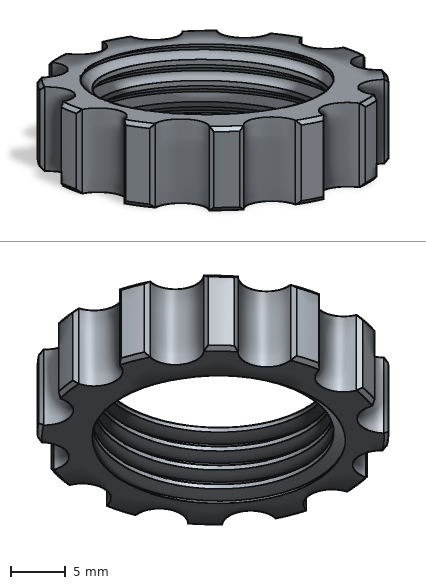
import cadquery as cq
import math

tooth_count = 12
outer_diameter = 32.0
height = 8.0
tip_chamfer = 0.4

notch_radius = 2.6
notch_center_radius = 16.1
tooth_turn_angle = 2.3

minor_diameter = 22.02
major_diameter = 24.26
pitch = 2.0
root_width = pitch / 8
groove_mouth_width = 3 * pitch / 4
cutter_overlap = 0.15
start_angle = -90.0

tooth_angle = 360.0 / tooth_count
first_notch_angle = tooth_angle / 2 + tooth_turn_angle
outer_radius = outer_diameter / 2
rim_tolerance = 1e-4
minor_radius = minor_diameter / 2
major_radius = major_diameter / 2


def body_blank():
    """Plain disc, turned so that its seam line is removed by a notch."""
    disc = cq.Workplane("XY").circle(outer_radius).extrude(height)
    return disc.rotate((0, 0, 0), (0, 0, 1), first_notch_angle)


def notches():
    """Round finger notches, leaving twelve equal teeth turned a little from the axes."""
    return (
        cq.Workplane("XY")
        .polarArray(notch_center_radius, first_notch_angle, 360, tooth_count)
        .circle(notch_radius)
        .extrude(height)
    )


def lies_on_rim(edge):
    """True if the edge runs along the outer cylinder of the blank."""
    middle = edge.positionAt(0.5)
    return abs(math.hypot(middle.x, middle.y) - outer_radius) < rim_tolerance


def chamfer_tooth_tips(body):
    """Bevel all four edges of every rounded tooth tip."""
    tip_edges = [edge for edge in body.edges().vals() if lies_on_rim(edge)]
    return body.newObject(tip_edges).chamfer(tip_chamfer)


def thread_cutter():
    """Right-hand helical groove running out past both end faces."""
    cutter_radius = minor_radius - cutter_overlap
    flank_slope = (groove_mouth_width - root_width) / (major_radius - minor_radius)
    inner_half_width = (groove_mouth_width + flank_slope * cutter_overlap) / 2
    root_half_width = root_width / 2
    profile = cq.Workplane("XZ").polyline(
        [
            (cutter_radius, -inner_half_width),
            (major_radius, -root_half_width),
            (major_radius, root_half_width),
            (cutter_radius, inner_half_width),
        ]
    ).close()
    helix = cq.Wire.makeHelix(pitch, height + 2 * pitch, cutter_radius)
    groove = profile.sweep(cq.Workplane(obj=helix), isFrenet=True)
    return groove.translate((0, 0, -pitch)).rotate((0, 0, 0), (0, 0, 1), start_angle)


body = chamfer_tooth_tips(body_blank().cut(notches()))
bore = cq.Workplane("XY").circle(minor_radius).extrude(height)
result = body.cut(thread_cutter()).cut(bore)